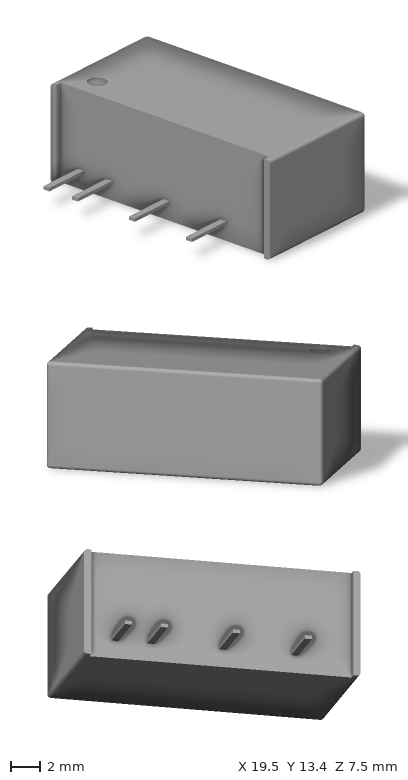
import cadquery as cq

length = 19.5
total_depth = 13.4
height = 7.5

standoff_width = 0.5
standoff_depth = 0.5
case_depth = 10.2
edge_radius = 0.25

pin_width = 0.5
pin_thickness = 0.25
pin_pitch = 2.54
pin_slots = (0, 1, 3, 5)
first_pin_x = 2.3
pin_center_z = 1.38

marker_diameter = 1.4
marker_from_front = 2.2
marker_depth = 0.1

case_front_y = standoff_depth
pin_tip_y = case_depth - total_depth


def make_case():
    """Rounded box whose front is set back between two end standoffs."""
    case = cq.Workplane("XY").box(length, case_depth, height, centered=False)
    case = case.edges("|Y or >Y").fillet(edge_radius)
    setback = cq.Workplane("XY").box(
        length - 2 * standoff_width, standoff_depth, height, centered=False
    )
    return case.cut(setback.translate((standoff_width, 0, 0)))


def make_pin(center_x):
    """Flat pin running from the set-back face to the pin tips."""
    pin = cq.Workplane("XY").box(
        pin_width, case_front_y - pin_tip_y, pin_thickness, centered=(True, False, True)
    )
    return pin.translate((center_x, pin_tip_y, pin_center_z))


def make_marker():
    """Shallow round recess in the top face."""
    return (
        cq.Workplane("XY", origin=(first_pin_x, marker_from_front, height))
        .circle(marker_diameter / 2)
        .extrude(-marker_depth)
    )


result = make_case().cut(make_marker())
for slot in pin_slots:
    result = result.union(make_pin(first_pin_x + slot * pin_pitch))